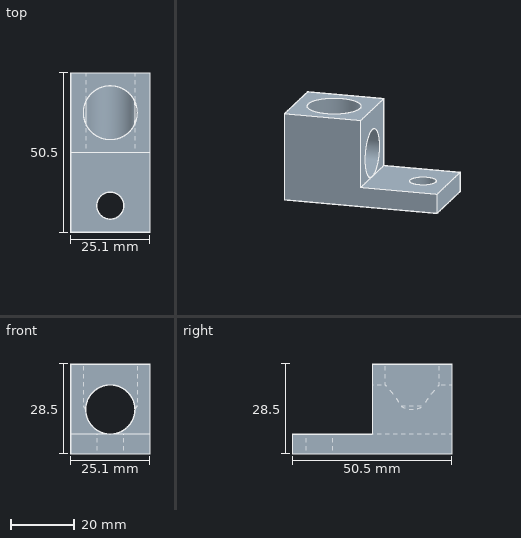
import cadquery as cq

width = 25.15
length = 50.5
height = 28.5

tongue_thickness = 6.35
block_length = length / 2
block_front = length - block_length

bore_diameter = 15.5
bore_height = tongue_thickness + bore_diameter / 2

screw_diameter = 17.05
screw_y = length - block_length / 2
taper_height = 1.05
taper_top = bore_height + taper_height
screw_depth = height - taper_top

mount_diameter = 8.5
mount_y = 8.5


def vertical_hole(diameter, y, bottom, depth):
    """Cylinder on the middle plane of the part, rising from the bottom height."""
    return cq.Workplane("XY", origin=(0, y, bottom)).circle(diameter / 2).extrude(depth)


body = (
    cq.Workplane("YZ")
    .moveTo(0, 0)
    .lineTo(length, 0)
    .lineTo(length, height)
    .lineTo(block_front, height)
    .lineTo(block_front, tongue_thickness)
    .lineTo(0, tongue_thickness)
    .close()
    .extrude(width / 2, both=True)
)

wire_bore = (
    cq.Workplane("XZ", origin=(0, block_front, bore_height))
    .circle(bore_diameter / 2)
    .extrude(-block_length)
)
screw_hole = vertical_hole(screw_diameter, screw_y, taper_top, screw_depth)
screw_taper = (
    cq.Workplane("XY", origin=(0, screw_y, bore_height))
    .circle(bore_diameter / 2)
    .workplane(offset=taper_height)
    .circle(screw_diameter / 2)
    .loft()
)
mount_hole = vertical_hole(mount_diameter, mount_y, 0, tongue_thickness)

result = body.cut(wire_bore).cut(screw_hole).cut(screw_taper).cut(mount_hole)